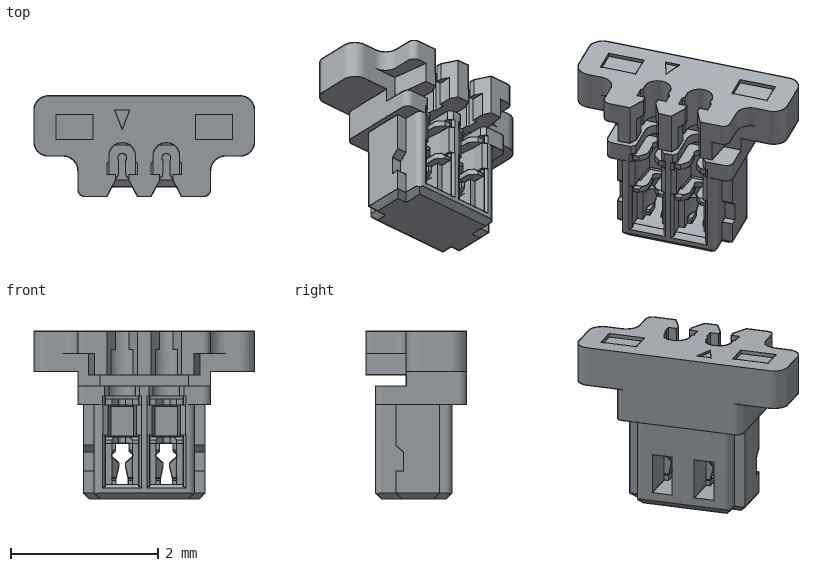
import cadquery as cq

SIDES = (-1, 1)

total_width = 3.0
total_depth = 1.37
total_height = 2.28

flange_front = 0.55
flange_bottom = total_height - 0.55
flange_radius = 0.198
collar_half = 0.903
collar_radius = 0.1
collar_bottom = 1.28
lip_bottom = 1.98
post_bottom = 1.685
post_front_half = 0.675
post_back_half = 0.755

gap_bottom = 1.535
gap_recess_half = 0.603
gap_recess_back = 0.78

body_front = 0.132
body_back = total_depth - 0.198
body_half = 0.68
body_radius = 0.08
ear_half = 0.828
ear_front = 0.408
ear_back = 1.002
bottom_chamfer = 0.085

latch_depth = 0.105
latch_bottom = 0.38
latch_top = 0.635
latch_rise = 0.095

pad_x = 0.945
pad_y = 0.945
pad_length = 0.505
pad_width = 0.34
pad_depth = 0.05
arrow_base_y = 1.173
arrow_tip_y = 0.912
arrow_half = 0.102
arrow_depth = 0.03

slot_centers = (-0.3, 0.3)
slot_radius = 0.18
slot_center_y = 0.552
shoulder_half = 0.207
shoulder_back = 0.477
shoulder_front = 0.303
throat_half = 0.09
throat_front = 0.222
throat_bottom = total_height - 0.252
throat_relief_half = 0.15
funnel_half = 0.207
slab_chamfer = 0.057

blade_half = 0.225
blade_front = 0.19
blade_back = 0.7
blade_thickness = 0.085
upper_blade_top = 1.362
lower_blade_top = 0.84
lower_blade_chamfer = 0.035
upper_clearance = 0.04
lower_clearance = 0.03
eye_radius = 0.06
eye_center_y = 0.525
neck_half = 0.048
neck_front = 0.288
neck_radius = 0.08
blade_mouth_half = 0.14

window_half = 0.265
window_chamfer = 0.033
window_inner_half = window_half - window_chamfer
cell_back = 0.35
cell_floor = 0.2
sill_length = 0.093
sill_drop = 0.048

pocket_front_half = 0.26
pocket_half = 0.192
pocket_back_half = 0.153
pocket_back = 0.66
pocket_bend = 0.018

channel_half = blade_mouth_half
rib_front = 0.47
rib_length = 0.21
stub_half = 0.09
stub_front_edge = 0.67
stub_slope_length = 0.06
stub_edge = 0.65
stub_root = 0.605
spring_root_top = 0.58
spring_tip_half = 0.042
spring_tip_top = 0.49
spring_tip_bottom = 0.45
spring_end_half = 0.078
spring_bottom = 0.29
spring_bulge = 0.025
foot_half = 0.08
foot_top = 0.275
foot_chamfer = 0.02

upper_blade_bottom = upper_blade_top - blade_thickness
lower_blade_bottom = lower_blade_top - blade_thickness


def block(half, y_front, y_back, z_low, z_high):
    """Box centred on X = 0."""
    return (
        cq.Workplane("XY", origin=(0, 0, z_low))
        .rect(2 * half, y_back - y_front)
        .extrude(z_high - z_low)
        .translate((0, (y_front + y_back) / 2, 0))
    )


def mirrored_prism(right_side, z_low, z_high):
    """Prism whose plan is a right-hand chain of points plus its mirror image."""
    left_side = [(-x, y) for x, y in reversed(right_side)]
    plan = cq.Workplane("XY", origin=(0, 0, z_low)).polyline(right_side + left_side)
    return plan.close().extrude(z_high - z_low)


def make_head():
    flange = block(total_width / 2, flange_front, total_depth, flange_bottom, total_height)
    flange = flange.edges("|Z").fillet(flange_radius)

    lip = block(collar_half, 0, total_depth / 2, lip_bottom, total_height)
    lip = lip.edges("|Z and <Y").fillet(collar_radius)
    for side in SIDES:
        corner = (
            cq.Workplane("XY", origin=(side * collar_half, flange_front, lip_bottom))
            .lineTo(side * flange_radius, 0)
            .radiusArc((0, -flange_radius), side * -flange_radius)
            .close()
            .extrude(total_height - lip_bottom)
        )
        lip = lip.union(corner)

    posts = mirrored_prism(
        [(post_front_half, 0), (post_back_half, flange_front)], post_bottom, lip_bottom
    )

    upper_collar = block(collar_half, flange_front, total_depth, gap_bottom, flange_bottom)
    upper_collar = upper_collar.edges("|Z and >Y").fillet(collar_radius)
    slab = block(collar_half, body_front, total_depth, collar_bottom, gap_bottom)
    slab = slab.edges("|Z").fillet(collar_radius)

    gap_recess = block(gap_recess_half, 0, gap_recess_back, gap_bottom, post_bottom)
    return flange.union(lip).union(posts).union(upper_collar).union(slab).cut(gap_recess)


def cut_top_marks(part):
    surface = cq.Workplane("XY", origin=(0, 0, total_height))
    pads = surface.pushPoints([(side * pad_x, pad_y) for side in SIDES])
    pads = pads.rect(pad_length, pad_width).extrude(-pad_depth)

    arrow_x = slot_centers[0]
    arrow_points = [
        (arrow_x - arrow_half, arrow_base_y),
        (arrow_x + arrow_half, arrow_base_y),
        (arrow_x, arrow_tip_y),
    ]
    arrow = surface.polyline(arrow_points).close().extrude(-arrow_depth)
    return part.cut(pads).cut(arrow)


def make_body():
    core = block(body_half, body_front, body_back, 0, collar_bottom)
    rounded_core = core.edges("|Z").fillet(body_radius)
    core = rounded_core.intersect(core.faces("<Z").chamfer(bottom_chamfer))

    ears = block(ear_half, ear_front, ear_back, 0, collar_bottom)
    ears = ears.faces("<Z").chamfer(bottom_chamfer)

    latch_points = [
        (ear_front, latch_bottom),
        (ear_front + latch_depth, latch_bottom),
        (ear_front + latch_depth, latch_top),
        (ear_front, latch_top + latch_rise),
    ]
    latch = cq.Workplane("YZ").polyline(latch_points).close().extrude(ear_half, both=True)
    return core.union(ears.cut(latch))


def make_wire_slot():
    """Cutter for one wire slot through the lip, the flange and the slab."""
    keyhole_bottom = upper_blade_top + upper_clearance

    def keyhole(y_front, z_low, z_high):
        straight = block(slot_radius, y_front, slot_center_y, z_low, z_high)
        round_end = (
            cq.Workplane("XY", origin=(0, slot_center_y, z_low))
            .circle(slot_radius)
            .extrude(z_high - z_low)
        )
        return straight.union(round_end)

    upper = keyhole(shoulder_front, post_bottom, total_height)
    shoulder_chamfer = shoulder_half - slot_radius
    shoulders = mirrored_prism(
        [
            (shoulder_half, shoulder_front),
            (shoulder_half, shoulder_back - shoulder_chamfer),
            (slot_radius, shoulder_back),
        ],
        post_bottom,
        total_height,
    )
    entry = mirrored_prism(
        [(funnel_half, 0), (throat_half, throat_front), (throat_half, shoulder_front)],
        post_bottom,
        total_height,
    )
    relief = block(throat_relief_half, 0, shoulder_front, post_bottom, throat_bottom)

    lower = keyhole(body_front, keyhole_bottom, gap_bottom)
    slab_mouth = mirrored_prism(
        [
            (slot_radius + slab_chamfer, body_front),
            (slot_radius, body_front + slab_chamfer),
        ],
        keyhole_bottom,
        gap_bottom,
    )
    return upper.union(shoulders).union(entry).union(relief).union(lower).union(slab_mouth)


def make_window(z_low, z_high):
    """Front opening with bevelled sides, as deep as the cell."""
    bevel_back = body_front + window_chamfer
    return mirrored_prism(
        [
            (window_half, body_front),
            (window_inner_half, bevel_back),
            (blade_half, bevel_back),
            (blade_half, cell_back),
        ],
        z_low,
        z_high,
    )


def make_cell():
    """Cutter for the hollow of one contact cell."""
    upper_top = upper_blade_top + upper_clearance
    lower_top = lower_blade_top + lower_clearance

    windows = make_window(upper_blade_bottom, upper_top).union(make_window(cell_floor, lower_top))
    upper_room = block(blade_half, cell_back, blade_back, upper_blade_bottom, upper_top)
    lower_room = block(blade_half, cell_back, blade_back, lower_blade_bottom, lower_blade_top)

    sill_bottom = cell_floor - sill_drop
    sill_points = [
        (body_front, sill_bottom),
        (body_front + sill_length, cell_floor),
        (body_front, cell_floor),
    ]
    sill = cq.Workplane("YZ").polyline(sill_points).close().extrude(window_half, both=True)
    sill = sill.intersect(make_window(sill_bottom, cell_floor))

    pocket = mirrored_prism(
        [
            (pocket_front_half, body_front),
            (pocket_half, body_front + window_chamfer),
            (pocket_half, cell_back),
            (pocket_back_half, pocket_back),
        ],
        lower_blade_top,
        upper_blade_bottom,
    )
    lower_rear_edges = cq.selectors.BoxSelector(
        (-pocket_half, cell_back, lower_blade_top - pocket_bend),
        (pocket_half, pocket_back + pocket_bend, lower_blade_top + pocket_bend),
    )
    pocket = pocket.edges(lower_rear_edges).chamfer(pocket_bend)
    pocket = pocket.edges(">Y and >Z").chamfer(pocket_bend)

    channel = block(channel_half, cell_back, body_back, cell_floor, lower_blade_bottom)
    return windows.union(upper_room).union(lower_room).union(sill).union(pocket).union(channel)


def make_blade(top, front_chamfer):
    """Horizontal slotted blade."""
    bottom = top - blade_thickness
    blade = block(blade_half, blade_front, blade_back, bottom, top)
    if front_chamfer:
        blade = blade.edges("<Y and >Z").chamfer(front_chamfer)
    eye = (
        cq.Workplane("XY", origin=(0, eye_center_y, bottom))
        .circle(eye_radius)
        .extrude(blade_thickness)
    )
    neck = mirrored_prism(
        [(blade_mouth_half, blade_front), (neck_half, neck_front), (neck_half, eye_center_y)],
        bottom,
        top,
    )
    margin = neck_half / 10
    neck_corners = cq.selectors.BoxSelector(
        (-blade_half, neck_front - margin, bottom),
        (blade_half, neck_front + margin, top),
    )
    neck = neck.edges(neck_corners).edges("|Z").fillet(neck_radius)
    return blade.cut(eye).cut(neck)


def make_wall_contacts():
    """Stub, spring and foot standing out from both walls of the channel."""
    def wall_rib(points):
        rib = cq.Workplane("XZ", origin=(0, rib_front, 0)).polyline(points).close()
        return rib.extrude(-rib_length)

    stub = wall_rib(
        [
            (channel_half, lower_blade_bottom),
            (stub_half, lower_blade_bottom),
            (stub_half, stub_edge),
            (channel_half, stub_root),
        ]
    )
    stub_side_points = [
        (rib_front, lower_blade_bottom),
        (rib_front, stub_front_edge),
        (rib_front + stub_slope_length, stub_root),
        (rib_front + rib_length, stub_root),
        (rib_front + rib_length, lower_blade_bottom),
    ]
    stub_side = cq.Workplane("YZ").polyline(stub_side_points).close().extrude(channel_half)
    stub = stub.intersect(stub_side)
    spring = wall_rib(
        [
            (channel_half, spring_root_top),
            (spring_tip_half, spring_tip_top),
            (spring_tip_half, spring_tip_bottom),
            (spring_end_half, spring_bottom),
            (channel_half, spring_bottom),
        ]
    )
    spring_lead_in = (
        cq.Workplane("XY", origin=(channel_half, rib_front, spring_bottom))
        .lineTo(0, rib_length)
        .lineTo(spring_tip_half - channel_half, rib_length)
        .sagittaArc((0, 0), spring_bulge)
        .close()
        .extrude(spring_root_top - spring_bottom)
    )
    foot = wall_rib(
        [
            (channel_half, cell_floor),
            (foot_half, cell_floor),
            (foot_half, foot_top),
            (channel_half, foot_top),
        ]
    )
    foot = foot.edges("<Y and >Z").chamfer(foot_chamfer)

    right_wall = stub.union(spring.intersect(spring_lead_in)).union(foot)
    return right_wall.union(right_wall.mirror("YZ"))


result = cut_top_marks(make_head().union(make_body()))

hollow = make_wire_slot().union(make_cell())
contact = (
    make_blade(upper_blade_top, 0)
    .union(make_blade(lower_blade_top, lower_blade_chamfer))
    .union(make_wall_contacts())
)
for center_x in slot_centers:
    result = result.cut(hollow.translate((center_x, 0, 0)))
    result = result.union(contact.translate((center_x, 0, 0)))